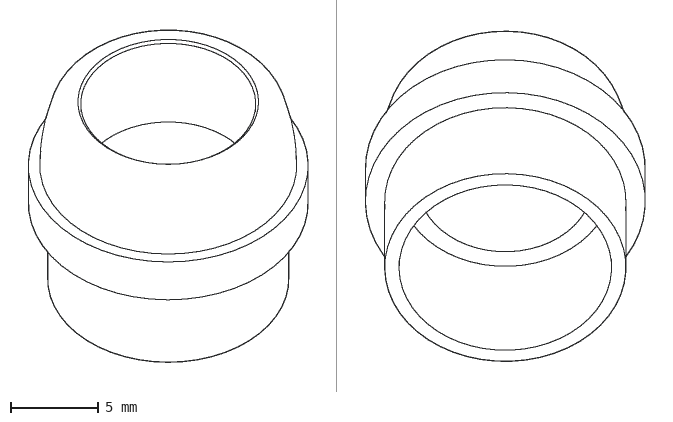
import cadquery as cq
import math

total_height = 14.0
flange_bottom = 6.0
flange_top = 9.0
step_height = 7.63

flange_radius = 16 / 2
sleeve_radius = 13.8 / 2
dome_base_radius = 14.69 / 2
bore_radius = 10.0 / 2
lower_bore_radius = 12.15 / 2

crown_radius = 1.5
crown_inner_radius = 5.35
mouth_chamfer = 0.16

crown_center_z = total_height - crown_radius
rise = crown_center_z - flange_top
inset = dome_base_radius - crown_inner_radius
side_radius = (rise**2 + inset**2 - crown_radius**2) / (2 * (inset - crown_radius))
side_center_r = dome_base_radius - side_radius
tangent_angle = math.atan2(rise, crown_inner_radius - side_center_r)


def arc_point(center_r, center_z, radius, angle):
    """Point (r, z) on an arc at an angle above the horizontal."""
    return center_r + radius * math.cos(angle), center_z + radius * math.sin(angle)


def side_point(angle):
    return arc_point(side_center_r, flange_top, side_radius, angle)


def crown_point(angle):
    return arc_point(crown_inner_radius, crown_center_z, crown_radius, angle)


section = (
    cq.Workplane("XZ")
    .moveTo(lower_bore_radius, 0)
    .lineTo(sleeve_radius, 0)
    .lineTo(sleeve_radius, flange_bottom)
    .lineTo(flange_radius, flange_bottom)
    .lineTo(flange_radius, flange_top)
    .lineTo(dome_base_radius, flange_top)
    .threePointArc(side_point(tangent_angle / 2), side_point(tangent_angle))
    .threePointArc(crown_point((tangent_angle + math.pi / 2) / 2), crown_point(math.pi / 2))
    .lineTo(bore_radius + mouth_chamfer, total_height)
    .lineTo(bore_radius, total_height - mouth_chamfer)
    .lineTo(bore_radius, step_height)
    .lineTo(lower_bore_radius, step_height)
    .close()
)
result = section.revolve(360, (0, 0, 0), (0, 1, 0))